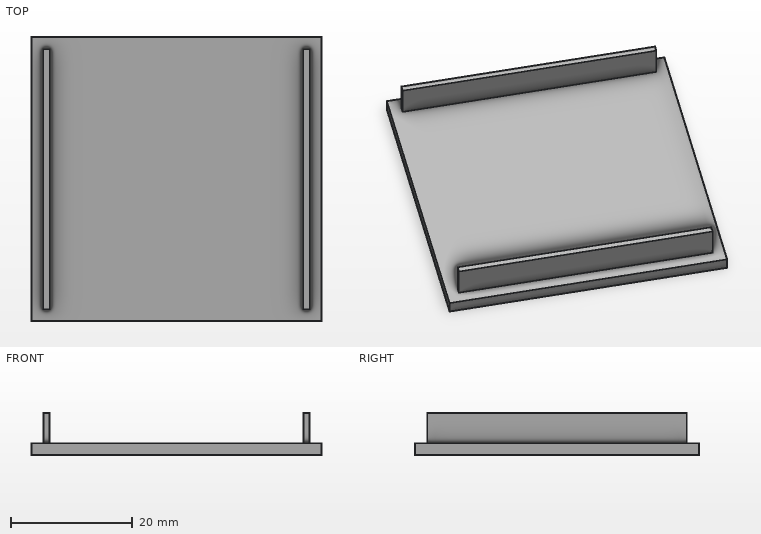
import cadquery as cq

plate_length = 48.0
plate_width = 47.0
plate_thickness = 2.0

total_height = 7.0
rib_thickness = 1.0
rib_inset = 2.0
rib_height = total_height - plate_thickness
rib_length = plate_width - 2 * rib_inset
rib_offset = plate_length / 2 - rib_inset - rib_thickness / 2

result = cq.Workplane("XY").box(plate_length, plate_width, plate_thickness, centered=(True, True, False))

ribs = (
    cq.Workplane("XY", origin=(0, 0, plate_thickness))
    .pushPoints([(-rib_offset, 0), (rib_offset, 0)])
    .rect(rib_thickness, rib_length)
    .extrude(rib_height)
)
result = result.union(ribs)